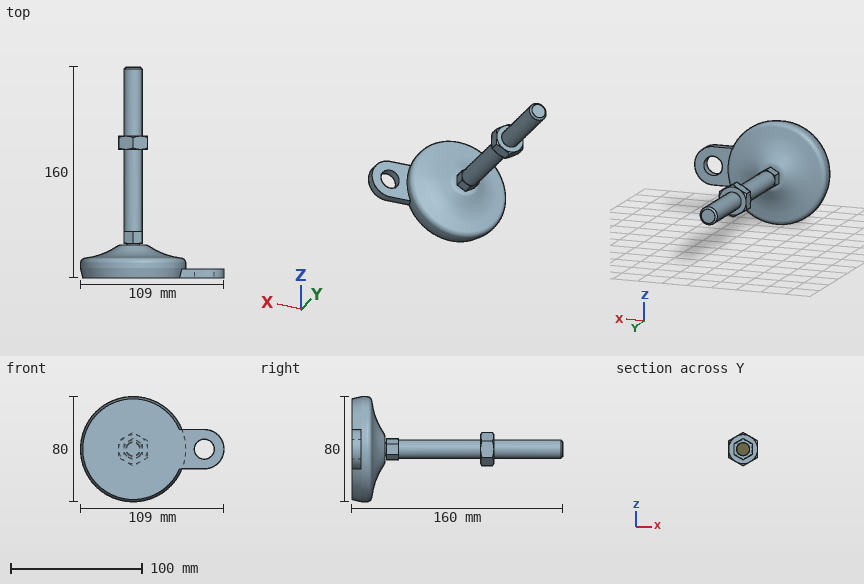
import cadquery as cq
import math


base_radius = 40.0
sole_radius = 38.2
taper_height = 7.5
rim_height = 11.25
rim_fillet = 4.0
rim_slope = math.radians(7)
shoulder_radius = 12.0
shoulder_height = 24.3
dome_height = 25.25

lug_offset = 54.0
lug_radius = 15.0
lug_hole_diameter = 15.0
lug_thickness = 7.0

overall_length = 160.0
stem_diameter = 14.0
tip_chamfer = 1.5
neck_diameter = 10.0
spanner_hex_flats = 14.0
spanner_hex_start = 26.3
spanner_hex_length = 9.0

nut_flats = 22.0
nut_start = 97.7
nut_thickness = 10.0
nut_chamfer_angle = math.radians(30)


def upright(y):
    """Workplane at height y whose normal is +Y, local x along +X and local y along -Z."""
    return cq.Workplane(cq.Plane(origin=(0, y, 0), xDir=(1, 0, 0), normal=(0, 1, 0)))


def cylinder(diameter, start, end):
    return upright(start).circle(diameter / 2).extrude(end - start)


def hexagon(across_flats, start, length):
    """Hexagonal prism with two of its flats facing +X and -X."""
    across_corners = across_flats / math.cos(math.pi / 6)
    return upright(start).transformed(rotate=(0, 0, 30)).polygon(6, across_corners).extrude(length)


def revolved(profile):
    return profile.close().revolve(360, (0, 0, 0), (0, 1, 0))


def make_base():
    fillet_end = (
        base_radius - rim_fillet + rim_fillet * math.sin(rim_slope),
        rim_height + rim_fillet * math.cos(rim_slope),
    )
    chord_slope = math.atan2(shoulder_height - fillet_end[1], fillet_end[0] - shoulder_radius)
    shoulder_slope = 2 * chord_slope - rim_slope
    crown_width = (dome_height - shoulder_height) / math.tan(shoulder_slope / 2)
    profile = (
        cq.Workplane("XY")
        .lineTo(sole_radius, 0)
        .lineTo(base_radius, taper_height)
        .lineTo(base_radius, rim_height)
        .tangentArcPoint(fillet_end, relative=False)
        .tangentArcPoint((shoulder_radius, shoulder_height), relative=False)
        .tangentArcPoint((shoulder_radius - crown_width, dome_height), relative=False)
        .lineTo(0, dome_height)
    )
    return revolved(profile)


def make_lug():
    arm = upright(0).center(lug_offset / 2, 0).rect(lug_offset, 2 * lug_radius).extrude(lug_thickness)
    eye = upright(0).center(lug_offset, 0).circle(lug_radius).extrude(lug_thickness)
    hole = upright(0).center(lug_offset, 0).circle(lug_hole_diameter / 2).extrude(lug_thickness)
    return arm.union(eye).cut(hole)


def make_stem():
    hex_end = spanner_hex_start + spanner_hex_length
    neck = cylinder(neck_diameter, dome_height, spanner_hex_start)
    spanner_hex = hexagon(spanner_hex_flats, spanner_hex_start, spanner_hex_length)
    rod = cylinder(stem_diameter, hex_end, overall_length).faces(">Y").chamfer(tip_chamfer)
    return neck.union(spanner_hex).union(rod)


def make_nut():
    nut_end = nut_start + nut_thickness
    face_radius = nut_flats / 2
    corner_radius = face_radius / math.cos(math.pi / 6)
    corner_drop = (corner_radius - face_radius) * math.tan(nut_chamfer_angle)
    envelope = revolved(
        cq.Workplane("XY")
        .moveTo(0, nut_start)
        .lineTo(face_radius, nut_start)
        .lineTo(corner_radius, nut_start + corner_drop)
        .lineTo(corner_radius, nut_end - corner_drop)
        .lineTo(face_radius, nut_end)
        .lineTo(0, nut_end)
    )
    return hexagon(nut_flats, nut_start, nut_thickness).intersect(envelope)


result = make_base().union(make_lug()).union(make_stem()).union(make_nut())